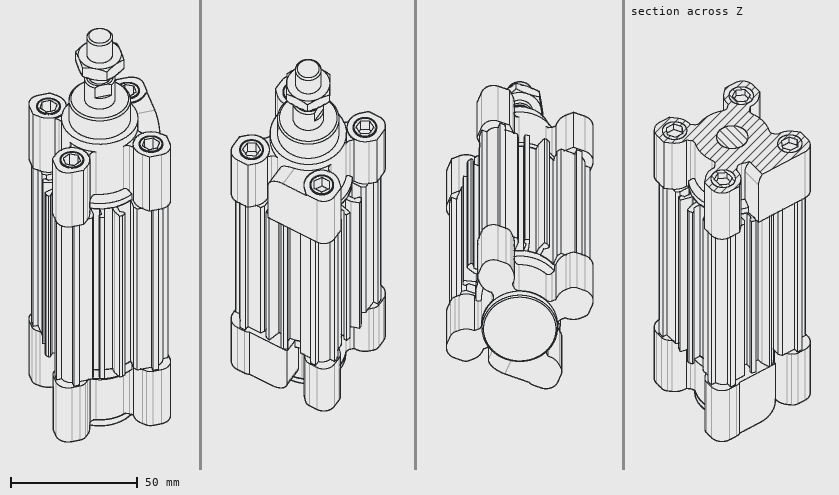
import cadquery as cq
import math

DIAGONAL = math.sqrt(0.5)
HEXAGON_RATIO = math.cos(math.pi / 6)
QUARTER_TURNS = (0, 90, 180, 270)

TOTAL_HEIGHT = 196
BOTTOM_SPIGOT = 4
CAP_HEIGHT = 29.0
BARREL_LENGTH = 86.2
BARREL_BOTTOM = BOTTOM_SPIGOT + CAP_HEIGHT
BARREL_TOP = BARREL_BOTTOM + BARREL_LENGTH

HUB_RADIUS = 15.0
FLANGE_RADIUS = 17.5
FLANGE_RISE = 2.7
TOP_FLANGE_RIM = 3.0
BOTTOM_FLANGE_RIM = 4.7
TOP_HUB_HEIGHT = 32.5
SPIGOT_RADIUS = 14.9
SPIGOT_CHAMFER = 0.5
COLLAR_RADIUS = 12.2
COLLAR_HEIGHT = 10.5
COLLAR_CHAMFER = 0.8

HALF_WIDTH = 23.5
SCREW_OFFSET = 16.3
LUG_RADIUS = 7.0
LUG_CORNER_RADIUS = 5.0
LUG_EDGE_ROUND = 3.5

RIB_HALF_WIDTH = 4.5
RIB_FILLET = 2.2
TOP_RIB_SETBACK = 0.5

BOSS_EDGE = 4.3
BOSS_ROUND = 7.0
BOSS_ROOT = 12.7
BOTTOM_BOSS_SETBACK = 0.5

SCREW_RADIUS = 4.7
SCREW_CHAMFER = 0.4
SOCKET_ACROSS_FLATS = 6.0
SOCKET_DEPTH = 5.9

CORE_RADIUS = 17.2
BLOCK_FACE = 21.0
BLOCK_INNER = 9.2
BLOCK_FOOT = 8.2
BLOCK_LIP_DEPTH = 1.5
TAB_FACE = 23.0
TAB_WIDTH = 2.4
LEFT_FIN = [
    (-4.9, -15.7), (-5.0, -19.6), (-6.3, -20.4), (-6.3, -21.5),
    (-4.5, -22.1), (-3.1, -17.2), (-3.1, -15.7),
]
RIGHT_FIN = [
    (0, -15.7), (0.2, -19.6), (1.4, -23.0), (2.5, -23.0),
    (4, -22.1), (3.7, -21.4), (2.2, -20.2), (2, -15.7),
]

ROD_RADIUS = 6.0
THREAD_RADIUS = 5.0
THREAD_LENGTH = 18.6
ROD_TIP_CHAMFER = 0.8
NECK_RADIUS = 4.3
SHOULDER_HEIGHT = 174.0
SHOULDER_CHAMFER = 0.8
FLATS_BOTTOM = 168.0
FLATS_ACROSS = 10.0

NUT_BOTTOM = 180.0
NUT_HEIGHT = 6.0
NUT_ACROSS_FLATS = 17.0
NUT_CHAMFER_ANGLE = 30


def hexagon(across_flats, height):
    """Hexagonal prism on the XY plane with two corners on the X axis."""
    return cq.Workplane("XY").polygon(6, across_flats / HEXAGON_RATIO).extrude(height)


def four_copies(body):
    """The body and its three quarter-turn copies about Z, as one shape."""
    joined = body
    for angle in QUARTER_TURNS[1:]:
        joined = joined.union(body.rotate((0, 0, 0), (0, 0, 1), angle))
    return joined


def make_lug(edge_round):
    """Lug on the +X +Y corner: round inside, squared off to the envelope outside."""
    reach = LUG_RADIUS * DIAGONAL
    near = SCREW_OFFSET - reach
    far = SCREW_OFFSET + reach
    face_start = near + HALF_WIDTH - far
    corner_start = HALF_WIDTH - LUG_CORNER_RADIUS
    corner_middle = corner_start + LUG_CORNER_RADIUS * DIAGONAL
    lug = (
        cq.Workplane("XY")
        .moveTo(near, far)
        .lineTo(face_start, HALF_WIDTH)
        .lineTo(corner_start, HALF_WIDTH)
        .threePointArc((corner_middle, corner_middle), (HALF_WIDTH, corner_start))
        .lineTo(HALF_WIDTH, face_start)
        .lineTo(far, near)
        .threePointArc((near, near), (near, far))
        .close()
        .extrude(CAP_HEIGHT)
    )
    if edge_round:
        for x, y in ((face_start, HALF_WIDTH), (HALF_WIDTH, face_start)):
            edge = cq.selectors.NearestToPointSelector((x, y, CAP_HEIGHT / 2))
            lug = lug.edges("|Z").edges(edge).fillet(edge_round)
    return lug


def make_rib(height):
    """Diagonal rib from the hub to the +X +Y lug, filleted into the hub on both sides."""
    centre_v = RIB_HALF_WIDTH + RIB_FILLET
    centre_u = math.sqrt((HUB_RADIUS + RIB_FILLET) ** 2 - centre_v**2)
    hub_share = HUB_RADIUS / (HUB_RADIUS + RIB_FILLET)
    hub_u, hub_v = centre_u * hub_share, centre_v * hub_share
    hub_direction = math.atan2(-centre_v, -centre_u)
    flank_direction = -math.pi / 2
    middle_direction = (hub_direction + flank_direction) / 2
    middle_u = centre_u + RIB_FILLET * math.cos(middle_direction)
    middle_v = centre_v + RIB_FILLET * math.sin(middle_direction)
    lug_u = SCREW_OFFSET / DIAGONAL
    return (
        cq.Workplane("XY")
        .moveTo(hub_u, hub_v)
        .threePointArc((middle_u, middle_v), (centre_u, RIB_HALF_WIDTH))
        .lineTo(lug_u, RIB_HALF_WIDTH)
        .lineTo(lug_u, -RIB_HALF_WIDTH)
        .lineTo(centre_u, -RIB_HALF_WIDTH)
        .threePointArc((middle_u, -middle_v), (hub_u, -hub_v))
        .close()
        .extrude(height)
        .rotate((0, 0, 0), (0, 0, 1), 45)
    )


def make_boss(height, face):
    """Port boss from the -X lug past the middle, its outer upper edge rounded about Y."""
    length = BOSS_EDGE + SCREW_OFFSET
    return (
        cq.Workplane("XY")
        .box(length, face - BOSS_ROOT, height, centered=False)
        .edges("|Y and >X and >Z")
        .fillet(BOSS_ROUND)
        .translate((-SCREW_OFFSET, BOSS_ROOT, 0))
    )


def make_cap(hub_height, flange_rim, rib_height, boss_face, edge_round):
    """End cap standing on its barrel seat at Z = 0."""
    flange_top = flange_rim + FLANGE_RISE
    hub = (
        cq.Workplane("XZ")
        .polyline([
            (0, 0), (FLANGE_RADIUS, 0), (FLANGE_RADIUS, flange_rim),
            (HUB_RADIUS, flange_top), (HUB_RADIUS, hub_height), (0, hub_height),
        ])
        .close()
        .revolve(360, (0, 0, 0), (0, 1, 0))
    )
    corners = four_copies(make_lug(edge_round).union(make_rib(rib_height)))
    return hub.union(corners).union(make_boss(rib_height, boss_face))


def make_top_cap():
    """Top cap with the rod collar, the rod bore and a through hole for the screw in each lug."""
    collar = (
        cq.Workplane("XY")
        .circle(COLLAR_RADIUS)
        .extrude(TOP_HUB_HEIGHT + COLLAR_HEIGHT)
        .faces(">Z")
        .chamfer(COLLAR_CHAMFER)
    )
    screw_holes = (
        cq.Workplane("XY")
        .rect(2 * SCREW_OFFSET, 2 * SCREW_OFFSET, forConstruction=True)
        .vertices()
        .circle(SCREW_RADIUS)
        .extrude(CAP_HEIGHT)
    )
    rod_bore = cq.Workplane("XY").circle(ROD_RADIUS).extrude(TOP_HUB_HEIGHT + COLLAR_HEIGHT)
    rib_height = CAP_HEIGHT - TOP_RIB_SETBACK
    cap = make_cap(TOP_HUB_HEIGHT, TOP_FLANGE_RIM, rib_height, HALF_WIDTH, 0)
    cap = cap.union(collar).cut(screw_holes).cut(rod_bore)
    return cap.translate((0, 0, BARREL_TOP))


def make_bottom_cap():
    """The bottom cap is turned over about Y, so its port boss joins the +X lug."""
    spigot = (
        cq.Workplane("XY")
        .circle(SPIGOT_RADIUS)
        .extrude(CAP_HEIGHT + BOTTOM_SPIGOT)
        .faces(">Z")
        .chamfer(SPIGOT_CHAMFER)
    )
    boss_face = HALF_WIDTH - BOTTOM_BOSS_SETBACK
    cap = make_cap(CAP_HEIGHT, BOTTOM_FLANGE_RIM, CAP_HEIGHT, boss_face, LUG_EDGE_ROUND)
    cap = cap.union(spigot)
    return cap.rotate((0, 0, 0), (0, 1, 0), 180).translate((0, 0, BARREL_BOTTOM))


def make_corner_block():
    """Corner of the barrel at +X +Y: a block with a round corner and two narrow tabs."""
    lip_start = BLOCK_FACE - BLOCK_LIP_DEPTH
    block = (
        cq.Workplane("XY")
        .moveTo(BLOCK_FOOT, BLOCK_FOOT)
        .lineTo(BLOCK_FOOT, lip_start)
        .lineTo(BLOCK_INNER, BLOCK_FACE)
        .lineTo(SCREW_OFFSET, BLOCK_FACE)
        .lineTo(SCREW_OFFSET, SCREW_OFFSET)
        .lineTo(BLOCK_FACE, SCREW_OFFSET)
        .lineTo(BLOCK_FACE, BLOCK_INNER)
        .lineTo(lip_start, BLOCK_FOOT)
        .close()
        .extrude(BARREL_LENGTH)
    )
    round_corner = (
        cq.Workplane("XY")
        .center(SCREW_OFFSET, SCREW_OFFSET)
        .circle(BLOCK_FACE - SCREW_OFFSET)
        .extrude(BARREL_LENGTH)
    )
    tab_length = TAB_FACE - SCREW_OFFSET
    tab_middle = SCREW_OFFSET + tab_length / 2
    y_tab = (
        cq.Workplane("XY")
        .center(SCREW_OFFSET, tab_middle)
        .rect(TAB_WIDTH, tab_length)
        .extrude(BARREL_LENGTH)
    )
    x_tab = (
        cq.Workplane("XY")
        .center(tab_middle, SCREW_OFFSET)
        .rect(tab_length, TAB_WIDTH)
        .extrude(BARREL_LENGTH)
    )
    return block.union(round_corner).union(y_tab).union(x_tab)


def make_barrel():
    """Round core with four corner blocks and a pair of slot fins on each side."""
    core = cq.Workplane("XY").circle(CORE_RADIUS).extrude(BARREL_LENGTH)
    left_fin = cq.Workplane("XY").polyline(LEFT_FIN).close().extrude(BARREL_LENGTH)
    right_fin = cq.Workplane("XY").polyline(RIGHT_FIN).close().extrude(BARREL_LENGTH)
    side = make_corner_block().union(left_fin).union(right_fin)
    return core.union(four_copies(side)).translate((0, 0, BARREL_BOTTOM))


def make_rod():
    """Rod from the barrel end through the top cap, with wrench flats, neck and threaded tip."""
    thread_bottom = TOTAL_HEIGHT - THREAD_LENGTH
    rod = (
        cq.Workplane("XZ")
        .polyline([
            (0, BARREL_TOP),
            (ROD_RADIUS, BARREL_TOP),
            (ROD_RADIUS, SHOULDER_HEIGHT - SHOULDER_CHAMFER),
            (ROD_RADIUS - SHOULDER_CHAMFER, SHOULDER_HEIGHT),
            (NECK_RADIUS, SHOULDER_HEIGHT),
            (NECK_RADIUS, thread_bottom),
            (THREAD_RADIUS, thread_bottom),
            (THREAD_RADIUS, TOTAL_HEIGHT - ROD_TIP_CHAMFER),
            (THREAD_RADIUS - ROD_TIP_CHAMFER, TOTAL_HEIGHT),
            (0, TOTAL_HEIGHT),
        ])
        .close()
        .revolve(360, (0, 0, 0), (0, 1, 0))
    )
    flats_height = SHOULDER_HEIGHT - FLATS_BOTTOM
    cut_middle = (FLATS_ACROSS + ROD_RADIUS) / 2
    for side in (-1, 1):
        flat_cut = (
            cq.Workplane("XY", origin=(side * cut_middle, 0, FLATS_BOTTOM))
            .rect(ROD_RADIUS, 2 * ROD_RADIUS)
            .extrude(flats_height)
        )
        rod = rod.cut(flat_cut)
    return rod


def make_nut():
    """Hexagon nut with conical chamfers on both ends and a bore for the rod thread."""
    flat_radius = NUT_ACROSS_FLATS / 2
    corner_radius = flat_radius / HEXAGON_RATIO
    chamfer_height = (corner_radius - flat_radius) * math.tan(math.radians(NUT_CHAMFER_ANGLE))
    envelope = (
        cq.Workplane("XZ")
        .polyline([
            (0, 0), (flat_radius, 0), (corner_radius, chamfer_height),
            (corner_radius, NUT_HEIGHT - chamfer_height), (flat_radius, NUT_HEIGHT), (0, NUT_HEIGHT),
        ])
        .close()
        .revolve(360, (0, 0, 0), (0, 1, 0))
    )
    bore = cq.Workplane("XY").circle(THREAD_RADIUS).extrude(NUT_HEIGHT)
    nut = hexagon(NUT_ACROSS_FLATS, NUT_HEIGHT).intersect(envelope).cut(bore)
    return nut.translate((0, 0, NUT_BOTTOM))


def make_screw():
    """Cap screw on the +X +Y corner, filling the lug hole, with a hexagon socket on top."""
    socket = hexagon(SOCKET_ACROSS_FLATS, SOCKET_DEPTH).rotate((0, 0, 0), (0, 0, 1), 90)
    screw = (
        cq.Workplane("XY")
        .circle(SCREW_RADIUS)
        .extrude(CAP_HEIGHT)
        .faces(">Z")
        .chamfer(SCREW_CHAMFER)
        .cut(socket.translate((0, 0, CAP_HEIGHT - SOCKET_DEPTH)))
    )
    return screw.translate((SCREW_OFFSET, SCREW_OFFSET, BARREL_TOP))


top_cap = make_top_cap()
bottom_cap = make_bottom_cap()
barrel = make_barrel()
rod = make_rod()
nut = make_nut()
screws = [make_screw().rotate((0, 0, 0), (0, 0, 1), angle).val() for angle in QUARTER_TURNS]

result = cq.Compound.makeCompound(
    [top_cap.val(), bottom_cap.val(), barrel.val(), rod.val(), nut.val(), *screws]
)